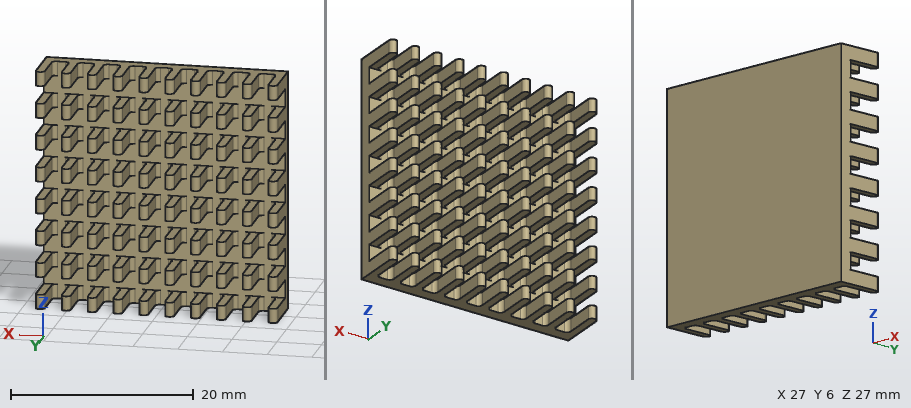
import cadquery as cq

side = 27.0
total_depth = 6.0
base_thickness = 1.5

fin_count = 10
fin_thickness = 1.0
fin_pitch = (side - fin_thickness) / (fin_count - 1)
tip_radius = fin_thickness / 2
root_radius = tip_radius
selection_margin = 0.03

pin_row_count = 8
cross_slot_width = 2.0
cross_slot_count = pin_row_count - 1
pin_length = (side - cross_slot_count * cross_slot_width) / pin_row_count
pin_row_pitch = pin_length + cross_slot_width

pin_height = total_depth - base_thickness


def make_base():
    """Flat plate with its plain face on Y = 0."""
    return cq.Workplane("XY").box(side, base_thickness, side, centered=(True, False, True))


def make_fin_section():
    """Fin outline in XY, centred on X = 0, with a semicircular tip."""
    shoulder_y = total_depth - tip_radius
    return (
        cq.Workplane("XY")
        .moveTo(-tip_radius, 0)
        .lineTo(tip_radius, 0)
        .lineTo(tip_radius, shoulder_y)
        .threePointArc((0, total_depth), (-tip_radius, shoulder_y))
        .close()
    )


def add_fins(body):
    fin = make_fin_section().extrude(side / 2, both=True)
    for index in range(fin_count):
        fin_x = (index - (fin_count - 1) / 2) * fin_pitch
        body = body.union(fin.translate((fin_x, 0, 0)))
    return body


def round_fin_roots(body):
    """Fillet the inner corners where the fins meet the base floor."""
    gap_floor = cq.selectors.BoxSelector(
        (-side / 2, base_thickness - selection_margin, -side / 2),
        (side / 2, base_thickness + selection_margin, side / 2),
    )
    return body.edges("|Z").edges(gap_floor).fillet(root_radius)


def cut_cross_slots(body):
    """Cut square-bottomed slots across all fins, down to the base floor."""
    slot = cq.Workplane("XY").box(side, pin_height, cross_slot_width, centered=(True, False, True))
    for index in range(cross_slot_count):
        slot_z = (index - (cross_slot_count - 1) / 2) * pin_row_pitch
        body = body.cut(slot.translate((0, base_thickness, slot_z)))
    return body


result = cut_cross_slots(round_fin_roots(add_fins(make_base())))